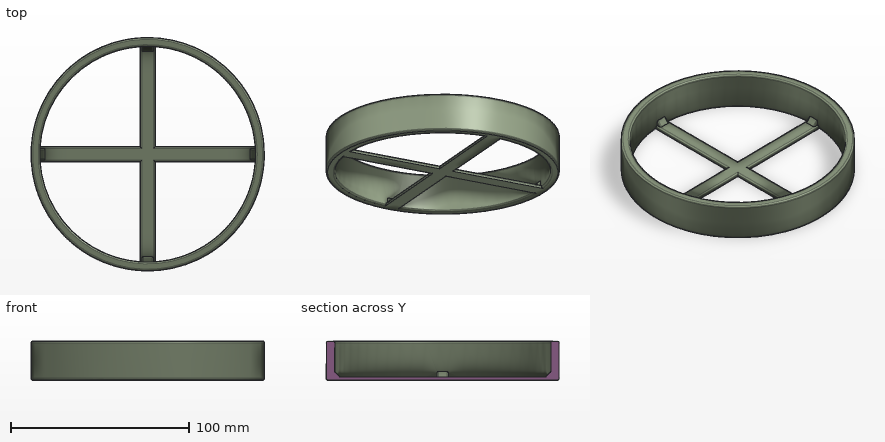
import cadquery as cq

outer_diameter = 131.0
bore_diameter = 121.0
ring_height = 22.0
edge_radius = 1.0
bottom_chamfer = 0.8

spoke_width = 8.5
spoke_thickness = 2.0

gusset_length = 3.0
gusset_edge_radius = 0.8

bore_radius = bore_diameter / 2
wall = (outer_diameter - bore_diameter) / 2
spoke_reach = bore_radius + wall / 2
gusset_start = bore_radius - gusset_length
gusset_width = spoke_width - 2 * edge_radius


def make_ring():
    """Plain hoop with rounded edges, with a blended chamfer around the outer bottom edge."""
    hoop = cq.Workplane("XY").circle(outer_diameter / 2).circle(bore_radius).extrude(ring_height)
    hoop = hoop.faces(">Z").edges().fillet(edge_radius)
    hoop = hoop.faces("<Z").edges(cq.selectors.RadiusNthSelector(0)).fillet(edge_radius)
    hoop = hoop.faces("<Z").edges(cq.selectors.RadiusNthSelector(-1)).chamfer(bottom_chamfer)
    wall_foot = hoop.edges(cq.selectors.RadiusNthSelector(-1)).edges("<Z")
    return wall_foot.fillet(edge_radius)


def make_spoke_bar():
    """Full-diameter flat bar along X with rounded upper long edges."""
    bar = cq.Workplane("XY").box(
        2 * spoke_reach, spoke_width, spoke_thickness, centered=(True, True, False)
    )
    return bar.faces(">Z").edges("|X").fillet(edge_radius)


def make_gusset():
    """45 degree wedge at the +X end of a spoke, with rounded sloping edges."""
    toe = gusset_start - spoke_thickness
    wedge = (
        cq.Workplane("XZ")
        .moveTo(toe, 0)
        .lineTo(spoke_reach, 0)
        .lineTo(spoke_reach, spoke_reach - toe)
        .close()
        .extrude(gusset_width / 2, both=True)
    )
    sloping_edges = wedge.faces("<Y or >Y").edges("not (|X or |Y or |Z)")
    return sloping_edges.fillet(gusset_edge_radius)


def turned(body, angle):
    """Copy of a body turned about the ring axis."""
    return body.rotate((0, 0, 0), (0, 0, 1), angle)


result = make_ring()
for bar_angle in (0, 90):
    result = result.union(turned(make_spoke_bar(), bar_angle))
for gusset_angle in (0, 90, 180, 270):
    result = result.union(turned(make_gusset(), gusset_angle))